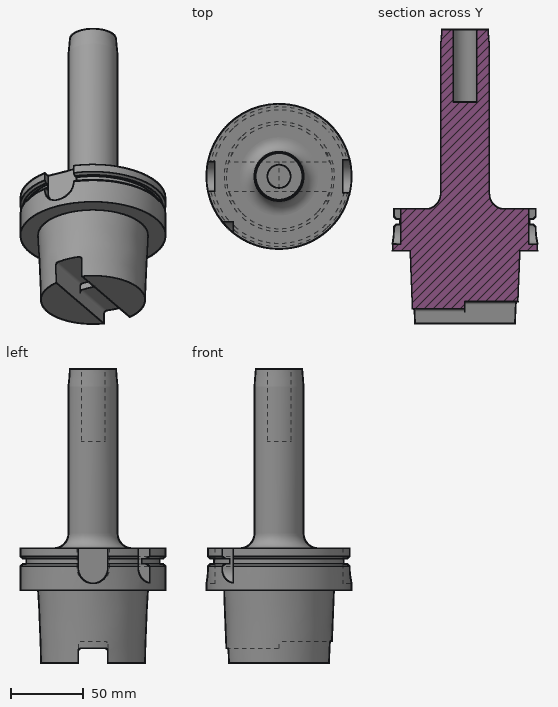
import cadquery as cq
import math


SHANK_LENGTH = 50.0
SHANK_TOP_RADIUS = 37.9
SHANK_END_RADIUS = 35.9

FLANGE_RADIUS = 50.0
FLANGE_HEIGHT = 29.0
GROOVE_RADIUS = 46.0
GROOVE_LEDGE_RADIUS = 48.2
GROOVE_CENTER_Z = 20.0
GROOVE_MOUTH = 6.8
GROOVE_FLOOR = 3.7

NECK_RADIUS = 17.0
NECK_FILLET = 10.0
TOTAL_LENGTH = 202.4
NOSE_RADIUS = 16.0
NOSE_LENGTH = 12.2
NOSE_Z = TOTAL_LENGTH - SHANK_LENGTH

BORE_DIAMETER = 16.0
BORE_DEPTH = 50.0

SLOT_BOTTOM_Z = 4.8
LEFT_SLOT_WIDTH = 20.2
LEFT_SLOT_FLOOR_X = 44.3
RIGHT_SLOT_WIDTH = 22.6
RIGHT_SLOT_FLOOR_X = 44.0

NOTCH_FLOOR_X = 31.4
NOTCH_WALL_Y = 31.2
NOTCH_WIDTH = 20.0

KEYWAY_WIDTH = 20.2
KEYWAY_FILLET = 2.0
LEFT_KEYWAY_DEPTH = 10.1
RIGHT_KEYWAY_DEPTH = 15.0


def make_body():
    """Revolve the shank, flange with a chamfered groove, filleted neck and tapered nose about Z."""
    mouth_low = GROOVE_CENTER_Z - GROOVE_MOUTH / 2
    mouth_high = GROOVE_CENTER_Z + GROOVE_MOUTH / 2
    floor_low = GROOVE_CENTER_Z - GROOVE_FLOOR / 2
    floor_high = GROOVE_CENTER_Z + GROOVE_FLOOR / 2
    arc_mid_offset = NECK_FILLET * (1 - math.sqrt(0.5))
    profile = (
        cq.Workplane("XZ")
        .moveTo(0, -SHANK_LENGTH)
        .lineTo(SHANK_END_RADIUS, -SHANK_LENGTH)
        .lineTo(SHANK_TOP_RADIUS, 0)
        .lineTo(FLANGE_RADIUS, 0)
        .lineTo(FLANGE_RADIUS, mouth_low)
        .lineTo(GROOVE_LEDGE_RADIUS, floor_low)
        .lineTo(GROOVE_RADIUS, floor_low)
        .lineTo(GROOVE_RADIUS, floor_high)
        .lineTo(GROOVE_LEDGE_RADIUS, floor_high)
        .lineTo(FLANGE_RADIUS, mouth_high)
        .lineTo(FLANGE_RADIUS, FLANGE_HEIGHT)
        .lineTo(NECK_RADIUS + NECK_FILLET, FLANGE_HEIGHT)
        .threePointArc(
            (NECK_RADIUS + arc_mid_offset, FLANGE_HEIGHT + arc_mid_offset),
            (NECK_RADIUS, FLANGE_HEIGHT + NECK_FILLET),
        )
        .lineTo(NECK_RADIUS, NOSE_Z - NOSE_LENGTH)
        .lineTo(NOSE_RADIUS, NOSE_Z)
        .lineTo(0, NOSE_Z)
        .close()
    )
    return profile.revolve(360, (0, 0, 0), (0, 1, 0))


def make_rim_slot(side, width, floor_x, center_y=0.0):
    """Round-bottomed cutter open to the flange top, on the -X (side=-1) or +X (side=1) rim."""
    radius = width / 2
    return (
        cq.Workplane("YZ", origin=(side * floor_x, center_y, SLOT_BOTTOM_Z + radius))
        .moveTo(-radius, FLANGE_HEIGHT)
        .lineTo(-radius, 0)
        .threePointArc((0, -radius), (radius, 0))
        .lineTo(radius, FLANGE_HEIGHT)
        .close()
        .extrude(side * FLANGE_RADIUS)
    )


def make_keyway(side, depth):
    """Keyway from the axis outward through the shank wall, with rounded upper corners."""
    length = SHANK_TOP_RADIUS
    return (
        cq.Workplane("XY")
        .box(length, KEYWAY_WIDTH, 2 * depth)
        .edges("|X")
        .fillet(KEYWAY_FILLET)
        .translate((side * length / 2, 0, -SHANK_LENGTH))
    )


def make_bore():
    """Blind tool bore from the nose face."""
    return (
        cq.Workplane("XY", origin=(0, 0, NOSE_Z))
        .circle(BORE_DIAMETER / 2)
        .extrude(-BORE_DEPTH)
    )


notch_center_y = -(NOTCH_WALL_Y + NOTCH_WIDTH / 2)

result = (
    make_body()
    .cut(make_rim_slot(-1, LEFT_SLOT_WIDTH, LEFT_SLOT_FLOOR_X))
    .cut(make_rim_slot(1, RIGHT_SLOT_WIDTH, RIGHT_SLOT_FLOOR_X))
    .cut(make_rim_slot(-1, NOTCH_WIDTH, NOTCH_FLOOR_X, notch_center_y))
    .cut(make_keyway(-1, LEFT_KEYWAY_DEPTH))
    .cut(make_keyway(1, RIGHT_KEYWAY_DEPTH))
    .cut(make_bore())
)